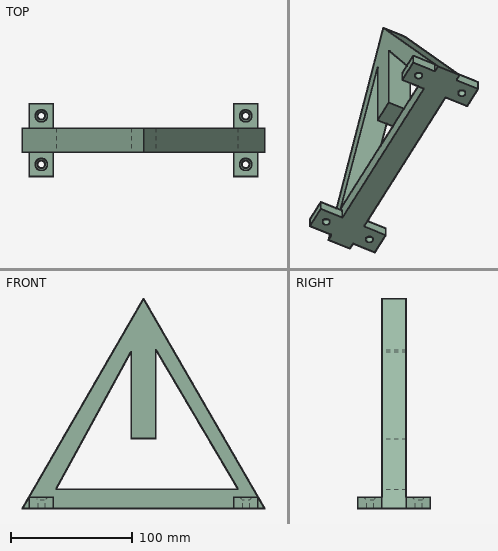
import cadquery as cq
import math

side = 200.0
height = side * math.sqrt(3) / 2
depth = 20.0

base_thickness = 16.2
opening_left = -72.0
opening_right = 77.8
opening_top = 148.2

bar_width = 20.5
bar_bottom = height / 3

foot_width = 20.0
foot_length = 60.0
foot_height = 9.5
foot_spacing = 168.5
hole_spacing = 40.0
hole_diameter = 6.0
countersink_diameter = 10.0
countersink_angle = 90.0


def triangle_prism(left, right, bottom, top):
    """Triangular prism centred on Y = 0, with a level base and its apex on X = 0."""
    outline = [(left, bottom), (right, bottom), (0, top)]
    return cq.Workplane("XZ").polyline(outline).close().extrude(depth / 2, both=True)


def outer_prism():
    """Solid equilateral triangle that bounds the frame."""
    return triangle_prism(-side / 2, side / 2, 0, height)


def hanging_bar():
    """Vertical bar trimmed by the outer triangle."""
    bar = (
        cq.Workplane("XY")
        .workplane(offset=bar_bottom)
        .rect(bar_width, depth)
        .extrude(height - bar_bottom)
    )
    return bar.intersect(outer_prism())


def foot(x):
    """Flat foot with a countersunk screw hole on each side of the frame."""
    block = cq.Workplane("XY").center(x, 0).rect(foot_width, foot_length).extrude(foot_height)
    return (
        block.faces(">Z")
        .workplane(origin=(x, 0, foot_height))
        .pushPoints([(0, -hole_spacing / 2), (0, hole_spacing / 2)])
        .cskHole(hole_diameter, countersink_diameter, countersink_angle)
    )


opening = triangle_prism(opening_left, opening_right, base_thickness, opening_top)
result = outer_prism().cut(opening).union(hanging_bar())
for x in (-foot_spacing / 2, foot_spacing / 2):
    result = result.union(foot(x))